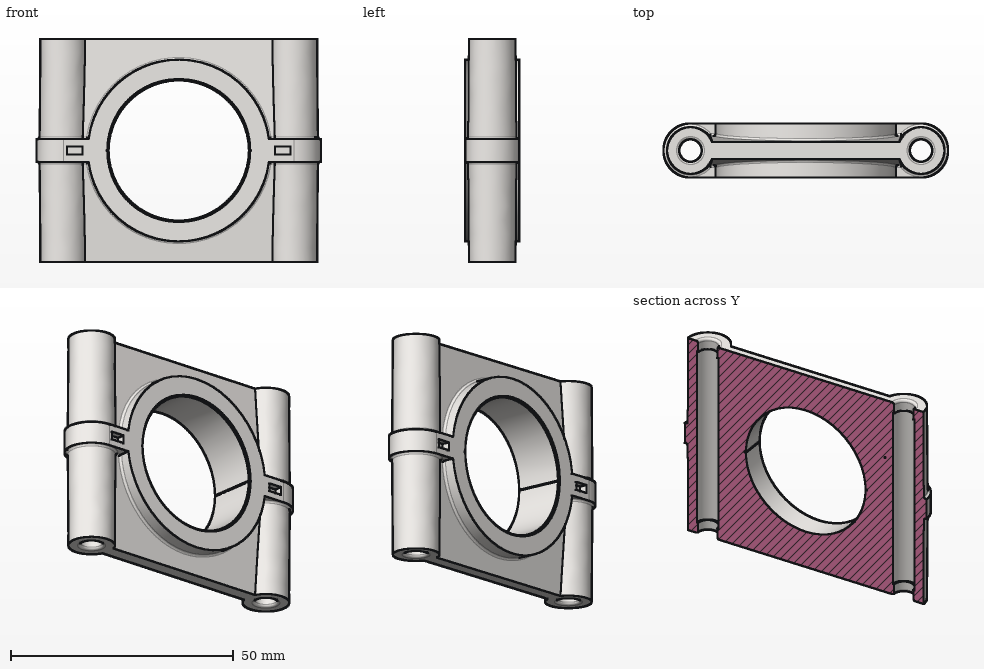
import cadquery as cq

length = 64.0
depth = 12.2
height = 50.1
half_height = height / 2

flange_end_radius = depth / 2
bolt_offset = length / 2 - flange_end_radius
column_mid_radius = 5.45
column_tip_radius = 5.25

plate_mid_half_thickness = 3.45
plate_tip_half_thickness = 1.9

flange_height = 5.1

ring_radius = 20.4
bore_radius = 15.75
bore_chamfer = 0.3

bolt_hole_radius = 2.5
hole_mouth_radius = 0.65
collar_height = 2.8
hole_middle_radius = 2.8

window_inner_x = 21.6
window_outer_x = 25.1
window_height = 1.85
window_depth = 1.9

slit_height = 0.1
slit_depth = 0.4

root_fillet = 0.5
tolerance = 0.005
sides = (-1, 1)


def make_column(x):
    """Double-tapered post, thickest at the parting plane."""
    profile = [
        (0, -half_height),
        (column_tip_radius, -half_height),
        (column_mid_radius, 0),
        (column_tip_radius, half_height),
        (0, half_height),
    ]
    post = cq.Workplane("XZ").polyline(profile).close().revolve(360, (0, 0), (0, 1))
    return post.translate((x, 0, 0))


def make_plate():
    """Web spanning the column axes, thickest at the parting plane."""
    profile = [
        (-plate_tip_half_thickness, -half_height),
        (plate_tip_half_thickness, -half_height),
        (plate_mid_half_thickness, 0),
        (plate_tip_half_thickness, half_height),
        (-plate_tip_half_thickness, half_height),
        (-plate_mid_half_thickness, 0),
    ]
    return cq.Workplane("YZ").polyline(profile).close().extrude(bolt_offset, both=True)


def make_y_cylinder(radius):
    """Full-depth cylinder on the pipe axis."""
    return cq.Workplane("XZ").circle(radius).extrude(depth / 2, both=True)


def make_flange():
    return cq.Workplane("XY").slot2D(length, depth).extrude(flange_height / 2, both=True)


def make_bolt_hole(x):
    """Through hole that widens between its two end collars."""
    axis = cq.Workplane("XY").center(x, 0)
    through = axis.circle(bolt_hole_radius).extrude(half_height, both=True)
    middle = axis.circle(hole_middle_radius).extrude(half_height - collar_height, both=True)
    return through.union(middle)


def make_window(x_side, y_side):
    """Shallow rectangular pocket in one flat flank of the flange."""
    width = window_outer_x - window_inner_x
    x = x_side * (window_inner_x + window_outer_x) / 2
    y = y_side * (depth - window_depth) / 2
    return cq.Workplane("XY").box(width, window_depth, window_height).translate((x, y, 0))


def make_slit():
    """Thin gap across the bore on the parting plane."""
    return cq.Workplane("XY").box(2 * (bore_radius + slit_depth), depth, slit_height)


class RootEdges(cq.Selector):
    """Edges where the ring and flange rise from the plate and columns."""

    def filter(self, edges):
        return [edge for edge in edges if self.is_root(edge)]

    def is_root(self, edge):
        points = [edge.positionAt(t) for t in (0, 0.25, 0.5, 0.75, 1)]
        inside_depth = all(abs(p.y) < depth / 2 - tolerance for p in points)
        on_flange = all(abs(abs(p.z) - flange_height / 2) < tolerance for p in points)
        on_ring = all(abs((p.x ** 2 + p.z ** 2) ** 0.5 - ring_radius) < tolerance for p in points)
        return inside_depth and (on_flange or on_ring)


body = make_plate().union(make_flange()).union(make_y_cylinder(ring_radius))
for side in sides:
    body = body.union(make_column(side * bolt_offset))
body = body.edges(RootEdges()).fillet(root_fillet)

for side in sides:
    body = body.cut(make_bolt_hole(side * bolt_offset))
smallest_circles = cq.selectors.RadiusNthSelector(0)
body = body.faces("<Z or >Z").edges("%CIRCLE").edges(smallest_circles).fillet(hole_mouth_radius)

body = body.cut(make_y_cylinder(bore_radius))
body = body.faces("<Y or >Y").edges("%CIRCLE").edges(smallest_circles).chamfer(bore_chamfer)
body = body.cut(make_slit())

for x_side in sides:
    for y_side in sides:
        body = body.cut(make_window(x_side, y_side))

result = body